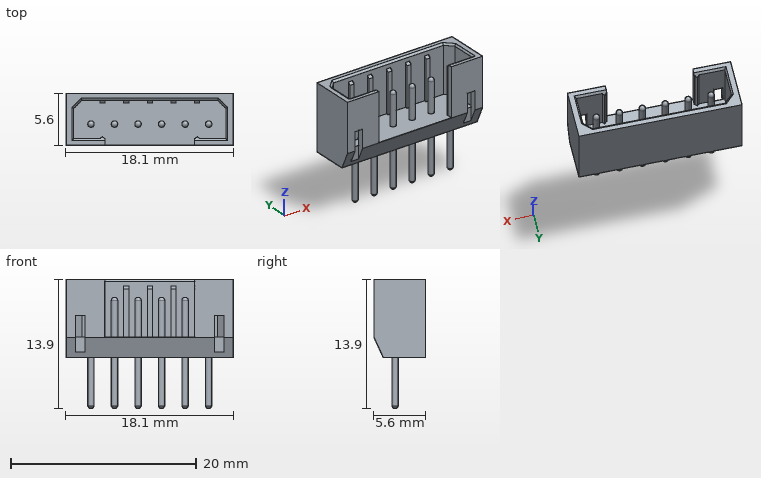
import cadquery as cq

length = 18.06
depth = 5.6
height = 8.45
half_length = length / 2
bevel_depth = 1.01
bevel_height = 2.19

floor_height = 2.24
side_wall = 0.81
long_wall = 0.74
corner_cut = 0.88
lead_in_side = 0.18
lead_in_long = 0.23
lead_in_height = 0.23
lead_in_corner_growth = 0.13

opening_width = 9.68
ridge_offset = 0.29
ridge_height = 0.22

rib_width = 0.55
rib_depth = 0.29
rib_top = 7.71

slot_width = 1.0
slot_edge = 1.03
slot_bottom = 0.58
slot_top = 4.53

pin_count = 6
pin_row_length = 12.7
pin_pitch = pin_row_length / (pin_count - 1)
pin_diameter = 0.7
pin_radius = pin_diameter / 2
pin_y = 2.3
pin_dome_base = 6.15
pin_bottom = -5.49
pin_tip_radius = 0.172
pin_tip_height = 0.25


def make_block():
    """Solid housing with the sloping lower front edge."""
    return (
        cq.Workplane("YZ")
        .moveTo(bevel_depth, 0)
        .lineTo(depth, 0)
        .lineTo(depth, height)
        .lineTo(0, height)
        .lineTo(0, bevel_height)
        .close()
        .extrude(half_length, both=True)
    )


def pocket_outline(z, side, long_side, cut):
    """Rectangle with its two back corners cut off, drawn at height z."""
    x = half_length - side
    front = long_side
    back = depth - long_side
    points = [
        (-x, front),
        (x, front),
        (x, back - cut),
        (x - cut, back),
        (-x + cut, back),
        (-x, back - cut),
    ]
    return cq.Workplane("XY").workplane(offset=z).polyline(points).close()


def make_pocket():
    """Straight pocket with a sloping lead-in around its rim."""
    floor = pocket_outline(floor_height, side_wall, long_wall, corner_cut)
    straight = floor.extrude(height - floor_height)
    lower = pocket_outline(height - lead_in_height, side_wall, long_wall, corner_cut).val()
    upper = pocket_outline(
        height,
        side_wall - lead_in_side,
        long_wall - lead_in_long,
        corner_cut + lead_in_corner_growth,
    ).val()
    lead_in = cq.Solid.makeLoft([lower, upper], True)
    return straight.union(cq.Workplane(lead_in))


def make_opening():
    """Cutter for the wide gap in the middle of the front wall."""
    return cq.Workplane("XY").box(
        opening_width, 2 * long_wall, height - floor_height, centered=(True, True, False)
    ).translate((0, 0, floor_height))


def make_ridge():
    """Pointed ridge on the inside of the front wall, left of the opening."""
    crest_x = -opening_width / 2 - ridge_offset
    crest_y = long_wall + ridge_height
    upright = (
        cq.Workplane("XY")
        .workplane(offset=floor_height)
        .moveTo(crest_x - ridge_height, long_wall)
        .lineTo(crest_x, crest_y)
        .lineTo(crest_x + ridge_height, long_wall)
        .close()
        .extrude(height - floor_height)
    )
    lead_in_base = height - lead_in_height
    crest_top = lead_in_base - ridge_height * lead_in_height / lead_in_long
    below_slope = (
        cq.Workplane("YZ")
        .moveTo(long_wall, floor_height)
        .lineTo(crest_y, floor_height)
        .lineTo(crest_y, crest_top)
        .lineTo(long_wall, lead_in_base)
        .close()
        .extrude(-half_length)
    )
    return upright.intersect(below_slope)


def make_rib(x):
    """Upright rib on the back wall with its top sloped at 45 degrees."""
    back = depth - long_wall
    return (
        cq.Workplane("YZ")
        .workplane(offset=x - rib_width / 2)
        .moveTo(back, floor_height)
        .lineTo(back, rib_top)
        .lineTo(back - rib_depth, rib_top - rib_depth)
        .lineTo(back - rib_depth, floor_height)
        .close()
        .extrude(rib_width)
    )


def make_slot():
    """Cutter for the left slot through the front wall and the sloping edge."""
    return cq.Workplane("XY").box(
        slot_width, long_wall, slot_top - slot_bottom, centered=False
    ).translate((-half_length + slot_edge, 0, slot_bottom))


def make_pin(x):
    """Round pin with a domed top and a tapered lower tip."""
    profile = (
        cq.Workplane("XZ")
        .moveTo(0, pin_bottom)
        .lineTo(pin_tip_radius, pin_bottom)
        .lineTo(pin_radius, pin_bottom + pin_tip_height)
        .lineTo(pin_radius, pin_dome_base)
        .radiusArc((0, pin_dome_base + pin_radius), -pin_radius)
        .close()
    )
    return profile.revolve(360, (0, 0), (0, 1)).translate((x, pin_y, 0))


result = make_block().cut(make_pocket()).cut(make_opening())

for feature in (make_ridge(), make_ridge().mirror("YZ")):
    result = result.union(feature)

for cutter in (make_slot(), make_slot().mirror("YZ")):
    result = result.cut(cutter)

for index in range(pin_count - 1):
    result = result.union(make_rib((index + 0.5) * pin_pitch - pin_row_length / 2))

for index in range(pin_count):
    result = result.union(make_pin(index * pin_pitch - pin_row_length / 2))